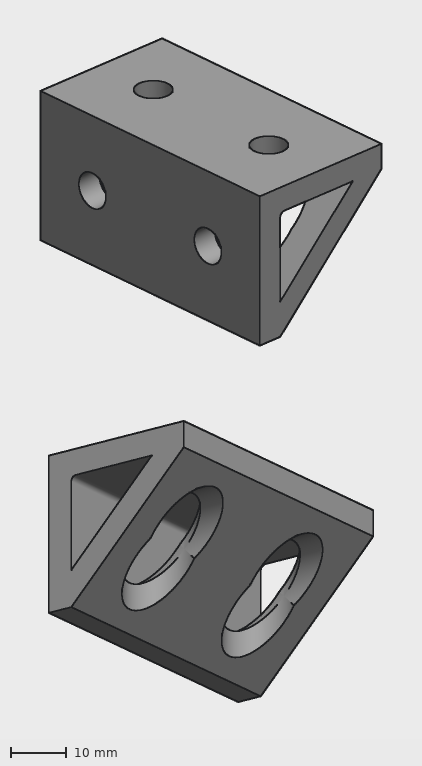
import cadquery as cq
import math

length = 57.0
leg = 30.0

wall = 5.0
inner_corner_radius = 1.0

hole_diameter = 7.0
hole_spacing = 30.0

access_diameter = 14.0

opening_leg = leg - wall - wall * math.sqrt(2)

half_leg = leg / 2
inner_face = half_leg - wall


def make_body():
    """Extrude the closed triangular profile, centred along X."""
    outline = [
        (-half_leg, half_leg),
        (half_leg, half_leg),
        (half_leg, inner_face),
        (-inner_face, -half_leg),
        (-half_leg, -half_leg),
    ]
    return cq.Workplane("YZ").polyline(outline).close().extrude(length / 2, both=True)


def make_opening():
    """Triangular tunnel with its right-angle corner rounded."""
    corners = [
        (-inner_face, inner_face),
        (-inner_face + opening_leg, inner_face),
        (-inner_face, inner_face - opening_leg),
    ]
    tunnel = cq.Workplane("YZ").polyline(corners).close().extrude(length / 2, both=True)
    return tunnel.edges("|X").edges("<Y").edges(">Z").fillet(inner_corner_radius)


def make_cylinders(plane, diameter, start, end):
    """Pair of cylinders at the bolt positions, spanning start to end along the plane normal."""
    centres = [(-hole_spacing / 2, 0), (hole_spacing / 2, 0)]
    base = cq.Workplane(plane).workplane(offset=start)
    return base.pushPoints(centres).circle(diameter / 2).extrude(end - start)


result = make_body().cut(make_opening())

for plane in ("XY", "XZ"):
    result = result.cut(make_cylinders(plane, hole_diameter, inner_face, half_leg))
    result = result.cut(make_cylinders(plane, access_diameter, -half_leg, inner_face))